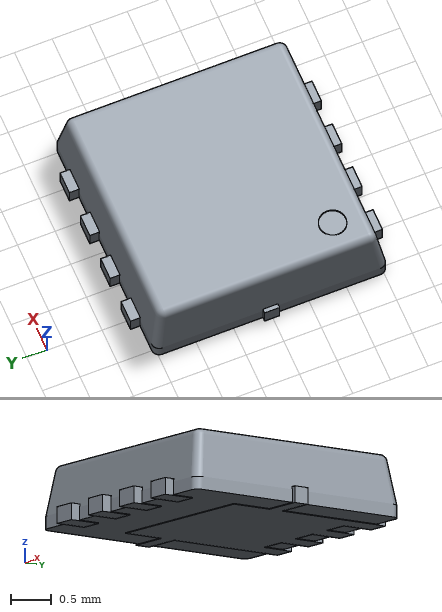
import cadquery as cq

SPAN_X = 3.30
SPAN_Y = 3.35
STANDOFF = 0.01

BODY_X = 3.20
BODY_Y = 3.10
BODY_HEIGHT = 0.80
BAND_HEIGHT = 0.16
CAP_INSET = 0.10
EDGE_RADIUS = 0.10

LEAD_COUNT = 4
LEAD_PITCH = 0.65
LEAD_WIDTH = 0.30
METAL_THICKNESS = 0.21
LEAD_INNER_Y = -1.26

PAD_FRONT_Y = -0.63
PAD_X = (LEAD_COUNT - 1) * LEAD_PITCH + LEAD_WIDTH
PAD_BACK_Y = -LEAD_INNER_Y
TAB_WIDTH = 0.20
TAB_Y = 0.01

DIMPLE_X = -1.105
DIMPLE_Y = -1.02
DIMPLE_RADIUS = 0.175
DIMPLE_DEPTH = 0.02

BODY_TOP = STANDOFF + BODY_HEIGHT
BAND_TOP = STANDOFF + BAND_HEIGHT


def block(x_min, x_max, y_min, y_max):
    """Flat metal block standing on the seating plane."""
    return (
        cq.Workplane("XY")
        .box(x_max - x_min, y_max - y_min, METAL_THICKNESS, centered=False)
        .translate((x_min, y_min, 0))
    )


def make_body():
    band = (
        cq.Workplane("XY")
        .workplane(offset=STANDOFF)
        .rect(BODY_X, BODY_Y)
        .extrude(BAND_HEIGHT)
        .edges("|Z")
        .fillet(EDGE_RADIUS)
    )
    cap = (
        cq.Workplane("XY")
        .workplane(offset=BAND_TOP)
        .rect(BODY_X, BODY_Y)
        .workplane(offset=BODY_TOP - BAND_TOP)
        .rect(BODY_X - 2 * CAP_INSET, BODY_Y - 2 * CAP_INSET)
        .loft(ruled=True)
        .edges("not <Z")
        .fillet(EDGE_RADIUS)
    )
    return band.union(cap)


def make_leads_and_pad():
    half_x = SPAN_X / 2
    half_y = SPAN_Y / 2
    metal = block(-PAD_X / 2, PAD_X / 2, PAD_FRONT_Y, PAD_BACK_Y)
    metal = metal.union(block(-half_x, half_x, TAB_Y - TAB_WIDTH / 2, TAB_Y + TAB_WIDTH / 2))
    for index in range(LEAD_COUNT):
        center_x = (index - (LEAD_COUNT - 1) / 2) * LEAD_PITCH
        left = center_x - LEAD_WIDTH / 2
        right = center_x + LEAD_WIDTH / 2
        metal = metal.union(block(left, right, -half_y, LEAD_INNER_Y))
        metal = metal.union(block(left, right, PAD_FRONT_Y, half_y))
    return metal


def make_dimple():
    return (
        cq.Workplane("XY")
        .workplane(offset=BODY_TOP - DIMPLE_DEPTH)
        .center(DIMPLE_X, DIMPLE_Y)
        .circle(DIMPLE_RADIUS)
        .extrude(DIMPLE_DEPTH)
    )


result = make_body().union(make_leads_and_pad()).cut(make_dimple())